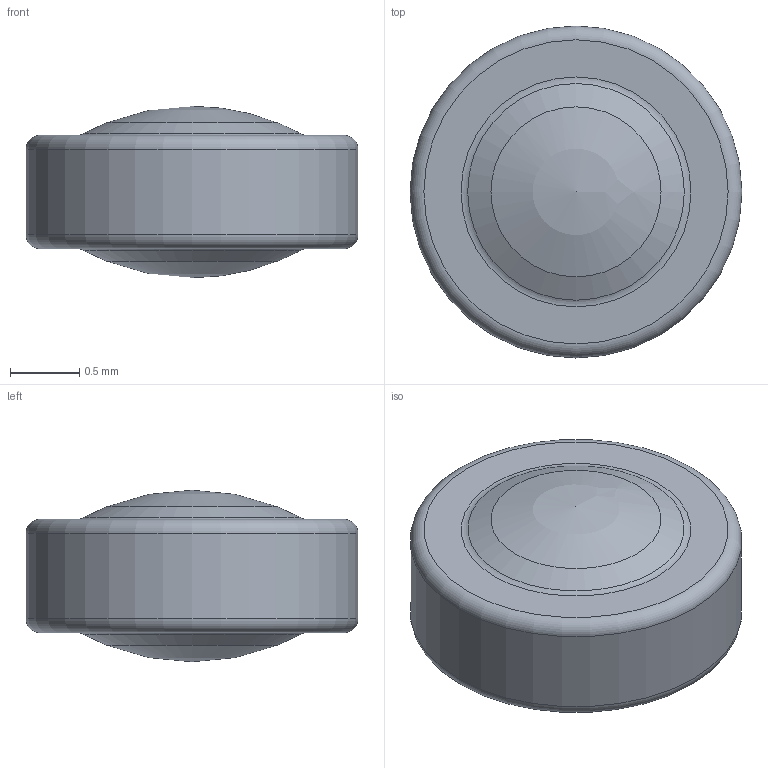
import cadquery as cq
import math

disc_diameter = 2.4
disc_thickness = 0.82
overall_height = 1.24
rim_fillet = 0.1
dome_radius = 1.65
dome_patch_radius = 0.615
root_fillet = 0.1

disc_radius = disc_diameter / 2
disc_half = disc_thickness / 2
dome_top = overall_height / 2
dome_center_z = dome_top - dome_radius

fillet_center_z = disc_half + root_fillet
fillet_reach = dome_radius + root_fillet
root_angle = math.acos((fillet_center_z - dome_center_z) / fillet_reach)
flat_inner_radius = fillet_reach * math.sin(root_angle)


def dome_point(angle):
    """Point (r, z) on the dome at an angle measured from the axis."""
    return (dome_radius * math.sin(angle), dome_center_z + dome_radius * math.cos(angle))


def fillet_point(angle):
    """Point (r, z) on the root fillet at an angle measured from straight down."""
    return (
        flat_inner_radius - root_fillet * math.sin(angle),
        fillet_center_z - root_fillet * math.cos(angle),
    )


def rim_disc():
    """Flat disc with both rim edges rounded."""
    disc = cq.Workplane("XY", origin=(0, 0, -disc_half)).circle(disc_radius).extrude(disc_thickness)
    return disc.faces("|Z").edges().fillet(rim_fillet)


def upper_dome():
    """Spherical cap with its root fillet, standing on the disc's top face."""
    patch_angle = math.asin(dome_patch_radius / dome_radius)
    profile = (
        cq.Workplane("XZ")
        .moveTo(0, disc_half)
        .lineTo(flat_inner_radius, disc_half)
        .threePointArc(fillet_point(root_angle / 2), fillet_point(root_angle))
        .threePointArc(dome_point((root_angle + patch_angle) / 2), dome_point(patch_angle))
        .threePointArc(dome_point(patch_angle / 2), (0, dome_top))
        .close()
    )
    return profile.revolve(360, (0, 0, 0), (0, 1, 0), clean=False)


dome = upper_dome()
result = rim_disc().union(dome, clean=False).union(dome.mirror("XY"), clean=False)